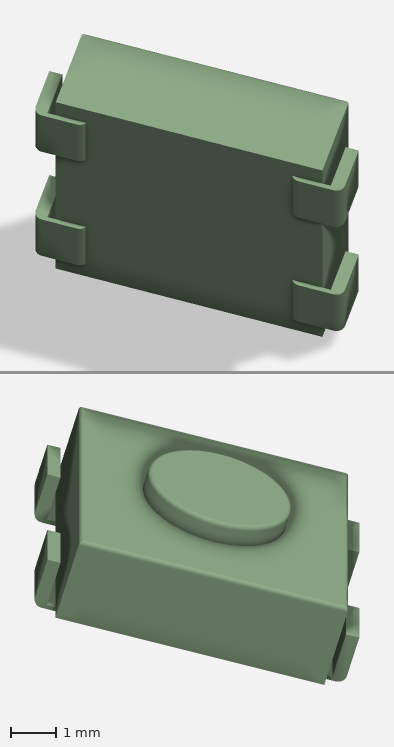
import cadquery as cq
import math

overall_width = 7.2
body_height = 6.4
body_depth = 2.0
edge_radius = 0.1

button_diameter = 3.3
button_height = 0.5

lead_thickness = 0.3
foot_thickness = 0.1
lead_gap = 0.195
leg_height = 1.2
lead_width = 1.4
lead_spacing = 4.0
flat_end = 1.02
bend_radius = 0.2

body_width = overall_width - 2 * (lead_thickness + lead_gap)


def make_body():
    """Block with its back on Y = 0 and the edges of its +Y face rounded."""
    block = cq.Workplane("XY").box(body_width, body_depth, body_height, centered=(True, False, True))
    return block.faces(">Y").edges().fillet(edge_radius)


def make_button():
    """Cylinder rising from the +Y face, with a rounded rim."""
    plane = cq.Workplane("XZ", origin=(0, body_depth, 0))
    cylinder = plane.circle(button_diameter / 2).extrude(-button_height)
    return cylinder.faces(">Y").edges().fillet(edge_radius)


def make_lead(center_z):
    """Lead on the -X side: an upright leg and a thin foot reaching under the body."""
    outer_x = -overall_width / 2
    bottom_y = -foot_thickness
    arc_center_y = bottom_y + bend_radius
    flat_start_x = outer_x + bend_radius
    flat_end_x = outer_x + flat_end
    diagonal = bend_radius * math.sqrt(0.5)

    tip_angle = math.acos(arc_center_y / bend_radius)
    tip_x = flat_end_x + bend_radius * math.sin(tip_angle)
    tip_middle = (
        flat_end_x + bend_radius * math.sin(tip_angle / 2),
        arc_center_y - bend_radius * math.cos(tip_angle / 2),
    )

    profile = (
        cq.Workplane("XY", origin=(0, 0, center_z - lead_width / 2))
        .moveTo(outer_x, bottom_y + leg_height)
        .lineTo(outer_x, arc_center_y)
        .threePointArc((flat_start_x - diagonal, arc_center_y - diagonal), (flat_start_x, bottom_y))
        .lineTo(flat_end_x, bottom_y)
        .threePointArc(tip_middle, (tip_x, 0))
        .lineTo(outer_x + lead_thickness, 0)
        .lineTo(outer_x + lead_thickness, bottom_y + leg_height)
        .close()
    )
    return profile.extrude(lead_width)


result = make_body().union(make_button())
for center_z in (-lead_spacing / 2, lead_spacing / 2):
    lead = make_lead(center_z)
    result = result.union(lead).union(lead.mirror("YZ"))